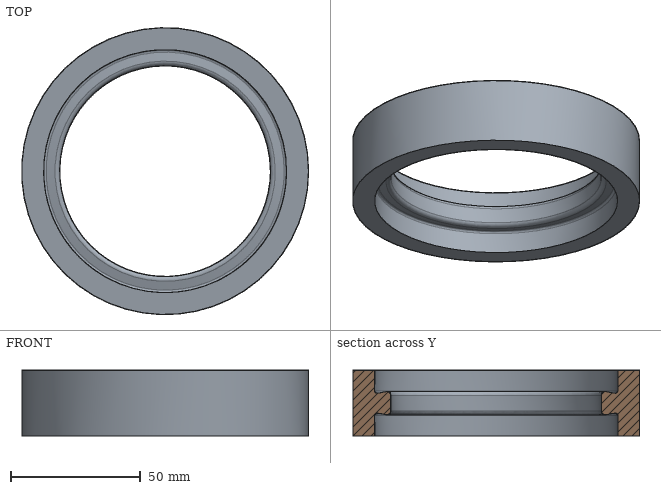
import cadquery as cq
import math

outer_radius = 55.25
recess_radius = 46.75
bore_radius = 40.5
height = 25.4

flank_angle = math.radians(10)
rib_round = 1.6
root_fillet = 0.8
rib_root_half_height = 3.75

rib_depth = recess_radius - bore_radius
rib_edge_half_height = rib_root_half_height + rib_depth * math.tan(flank_angle)
half_height = height / 2
selection_tolerance = 0.01


def make_ring():
    """Revolve the sharp-cornered cross-section, centred on mid height, about Z."""
    section = (
        cq.Workplane("XZ")
        .moveTo(outer_radius, -half_height)
        .lineTo(recess_radius, -half_height)
        .lineTo(recess_radius, -rib_root_half_height)
        .lineTo(bore_radius, -rib_edge_half_height)
        .lineTo(bore_radius, rib_edge_half_height)
        .lineTo(recess_radius, rib_root_half_height)
        .lineTo(recess_radius, half_height)
        .lineTo(outer_radius, half_height)
        .close()
    )
    return section.revolve(360, (0, 0, 0), (0, 1, 0))


def fillet_circle(body, circle_radius, z, fillet_radius):
    """Fillet the circular edge of the given radius at height z."""
    reach = circle_radius + selection_tolerance
    edge_box = cq.selectors.BoxSelector(
        (-reach, -reach, z - selection_tolerance),
        (reach, reach, z + selection_tolerance),
        boundingbox=True,
    )
    return body.edges(edge_box).fillet(fillet_radius)


def blend_rib(body):
    """Round the rib into the bore and fillet its roots, on both flanks."""
    for side in (1, -1):
        body = fillet_circle(body, bore_radius, side * rib_edge_half_height, rib_round)
        body = fillet_circle(body, recess_radius, side * rib_root_half_height, root_fillet)
    return body


result = blend_rib(make_ring()).translate((0, 0, half_height))